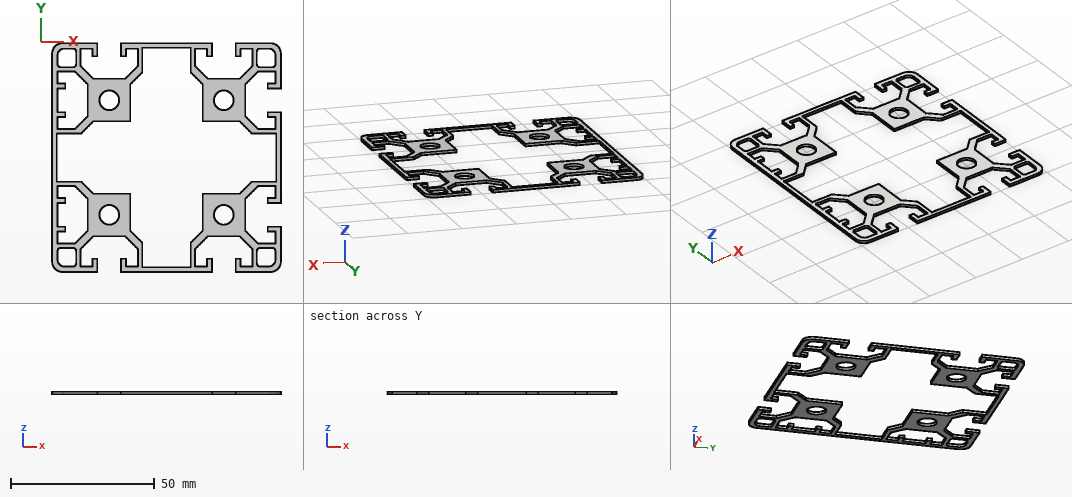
import cadquery as cq
import math

side = 80.0
thickness = 1.0
half = side / 2
corner_radius = 3.75

core_pitch = 40.0
core_offset = core_pitch / 2
core_slot_half = 7.55
core_void_half = 7.4
bore_diameter = 6.8

slot_skin = 2.0
middle_skin = 1.7
web = 1.6

chamber_half = 10.0
chamber_straight_depth = 8.05
mouth_half = 4.1
lip_width = 1.8
lip_depth = 4.7

cell_size = 6.4
cell_outer_radius = 2.25
cell_inner_radius = 1.0

arm_half = half - core_offset - chamber_half - web
arm_straight_depth = 10.2

TOP, LEFT, BOTTOM, RIGHT = 0, 90, 180, 270
OPEN_SIDES = (TOP, BOTTOM, RIGHT)
ALL_SIDES = (TOP, LEFT, BOTTOM, RIGHT)


def turned(body, angle):
    """Body rotated about the profile axis."""
    return body.rotate((0, 0, 0), (0, 0, 1), angle)


def prism(points):
    """Full-thickness solid on a closed polygon."""
    return cq.Workplane("XY").polyline(points).close().extrude(thickness)


def block(x_min, x_max, y_min, y_max):
    """Full-thickness rectangular block."""
    return prism([(x_min, y_min), (x_max, y_min), (x_max, y_max), (x_min, y_max)])


def slot_cutter(centre_x, is_open):
    """T-slot chamber below the +Y face, tapering at 45 degrees, with its lips left standing."""
    roof_y = half - slot_skin
    taper_y = half - chamber_straight_depth
    floor_y = core_offset + core_slot_half
    floor_half = chamber_half - (taper_y - floor_y)
    right_side = [(chamber_half, roof_y), (chamber_half, taper_y), (floor_half, floor_y)]
    left_side = [(-x, y) for x, y in reversed(right_side)]
    cutter = prism([(centre_x + x, y) for x, y in right_side + left_side])
    for direction in (-1, 1):
        lip_x = centre_x + direction * (mouth_half + lip_width / 2)
        lip = block(lip_x - lip_width / 2, lip_x + lip_width / 2, half - lip_depth, half)
        cutter = cutter.cut(lip)
    if is_open:
        mouth = block(centre_x - mouth_half, centre_x + mouth_half, half - lip_depth, half)
        cutter = cutter.union(mouth)
    return cutter


def central_void():
    """Cross-shaped void whose arms narrow between the slot chambers, with flanks at 45 degrees."""
    end = half - middle_skin
    core_edge = core_offset - core_void_half
    neck = half - arm_straight_depth
    flare_end = neck - (core_edge - arm_half)
    right_side = [(arm_half, end), (arm_half, neck), (core_edge, flare_end), (core_edge, 0)]
    left_side = [(-x, y) for x, y in reversed(right_side)]
    arm = prism(right_side + left_side)
    void = block(-core_edge, core_edge, -core_edge, core_edge)
    for angle in ALL_SIDES:
        void = void.union(turned(arm, angle))
    return void


def corner_cell():
    """Rounded square cell in the +X +Y corner."""
    outer = half - slot_skin
    inner = outer - cell_size
    bend = outer - cell_outer_radius
    arc_middle = bend + cell_outer_radius * math.sqrt(0.5)
    cell = (
        cq.Workplane("XY").moveTo(inner, inner)
        .lineTo(outer, inner)
        .lineTo(outer, bend)
        .threePointArc((arc_middle, arc_middle), (bend, outer))
        .lineTo(inner, outer)
        .close()
        .extrude(thickness)
    )
    sharp_corners = [(inner, inner), (outer, inner), (inner, outer)]
    for x, y in sharp_corners:
        corner_edge = cq.selectors.NearestToPointSelector((x, y, thickness / 2))
        cell = cell.edges("|Z").edges(corner_edge).fillet(cell_inner_radius)
    return cell


result = cq.Workplane("XY").rect(side, side).extrude(thickness).edges("|Z").fillet(corner_radius)

result = result.cut(central_void())

for angle in ALL_SIDES:
    result = result.cut(turned(corner_cell(), angle))
    for centre_x in (-core_offset, core_offset):
        slot = slot_cutter(centre_x, angle in OPEN_SIDES)
        result = result.cut(turned(slot, angle))

result = (
    result.faces(">Z").workplane(origin=(0, 0, thickness))
    .rect(core_pitch, core_pitch, forConstruction=True).vertices()
    .hole(bore_diameter)
)